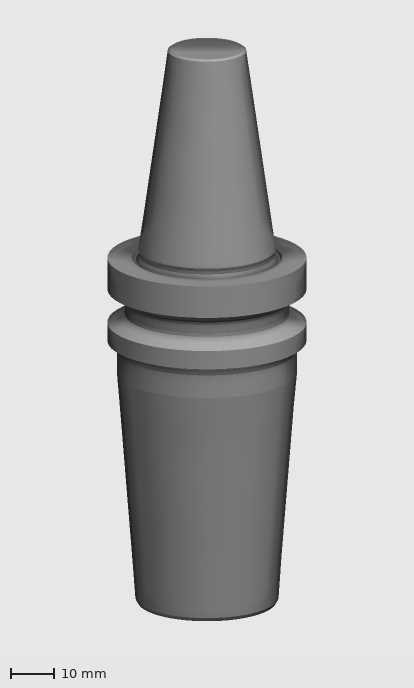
import cadquery as cq

length = 133.4

nose_radius = 16.5
nose_chamfer_width = 0.5
nose_chamfer_height = 1.0
body_radius = 20.8
nose_taper_top = 55.4

collar_radius = 21.2
collar_bottom = 60.8
collar_chamfer_top = 62.2
flange_bottom = 63.0

flange_diameter = 46.0
flange_top = 83.0
groove_bottom = 67.4
groove_top = 75.4
groove_cone_height = 2.3
groove_root_radius = 19.1
root_relief_height = 0.7
root_relief_depth = 0.1

recess_radius = 17.3
recess_depth = 0.5
recess_chamfer = 0.3

shank_base_radius = 15.9
neck_radius = 15.6
neck_flare_radius = 16.4
neck_flare_top = 83.6
neck_top = 84.3
shank_base = 85.1
shank_end_radius = 9.1
shank_chamfer_width = 0.5
shank_chamfer_height = 0.4

flange_radius = flange_diameter / 2
cone_bottom = groove_bottom + groove_cone_height
cone_top = groove_top - groove_cone_height
relief_radius = groove_root_radius - root_relief_depth
recess_floor = flange_top - recess_depth

profile = [
    (0, 0),
    (nose_radius - nose_chamfer_width, 0),
    (nose_radius, nose_chamfer_height),
    (body_radius, nose_taper_top),
    (body_radius, collar_bottom),
    (collar_radius, collar_chamfer_top),
    (collar_radius, flange_bottom),
    (flange_radius, flange_bottom),
    (flange_radius, groove_bottom),
    (groove_root_radius, cone_bottom),
    (relief_radius, cone_bottom + root_relief_height),
    (relief_radius, cone_top - root_relief_height),
    (groove_root_radius, cone_top),
    (flange_radius, groove_top),
    (flange_radius, flange_top),
    (recess_radius, flange_top),
    (recess_radius - recess_chamfer, recess_floor),
    (neck_flare_radius, recess_floor),
    (neck_radius, neck_flare_top),
    (neck_radius, neck_top),
    (shank_base_radius, shank_base),
    (shank_end_radius, length - shank_chamfer_height),
    (shank_end_radius - shank_chamfer_width, length),
    (0, length),
]

result = cq.Workplane("XZ").polyline(profile).close().revolve(360, (0, 0, 0), (0, 1, 0))